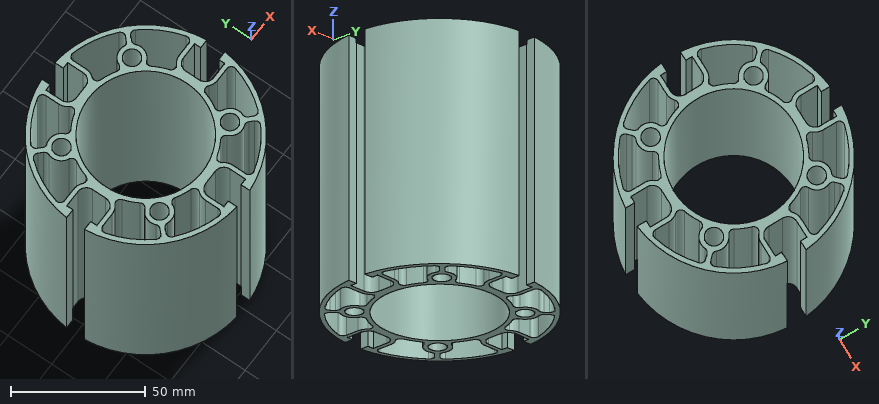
import cadquery as cq
import math

length = 100.0
outer_radius = 45.0
bore_radius = 26.0
wall = 2.0
quarters = 4

mouth_width = 8.2
slot_width = 13.8
slot_floor = 29.8
lip_seat = 40.8
slot_corner_radius = 3.9
slot_wall = 1.9

screw_hole_radius = 3.6
boss_offset = 22.5
boss_radius = screw_hole_radius + wall

chamber_inner = bore_radius + wall
chamber_outer = outer_radius - wall
bend_radius = slot_corner_radius + slot_wall
tip_radius = 2.0
corner_fillet = 2.0


def polar(radius, angle, center=(0, 0)):
    return (center[0] + radius * math.cos(angle), center[1] + radius * math.sin(angle))


def direction(start, end):
    return math.atan2(end[1] - start[1], end[0] - start[0])


def cut_quarters(body, cutter):
    """Remove four copies of a cutter, spaced evenly around the column axis."""
    for i in range(quarters):
        body = body.cut(cutter.rotate((0, 0, 0), (0, 0, 1), i * 360 / quarters))
    return body


def make_slot():
    """T-slot opening toward +Y."""
    cavity = (
        cq.Workplane("XY")
        .center(0, (slot_floor + lip_seat) / 2)
        .rect(slot_width, lip_seat - slot_floor)
        .extrude(length)
        .edges("|Z and <Y")
        .fillet(slot_corner_radius)
    )
    mouth = (
        cq.Workplane("XY")
        .center(0, (lip_seat + outer_radius) / 2)
        .rect(mouth_width, outer_radius - lip_seat)
        .extrude(length)
    )
    return cavity.union(mouth)


def make_screw_hole():
    return cq.Workplane("XY").center(boss_offset, boss_offset).circle(screw_hole_radius).extrude(length)


def make_chamber_blank():
    """Space from the +Y slot wall to the diagonal, between the two rings."""
    origin = (0, 0)
    wall_x = slot_width / 2 + slot_wall
    bend_center = (wall_x - bend_radius, slot_floor + slot_corner_radius)

    bend_distance = math.dist(origin, bend_center)
    tip_distance = chamber_inner + tip_radius
    tip_to_bend = bend_radius + tip_radius
    cosine = (tip_distance**2 + bend_distance**2 - tip_to_bend**2) / (2 * tip_distance * bend_distance)
    tip_angle = direction(origin, bend_center) - math.acos(cosine)
    tip_center = polar(tip_distance, tip_angle)

    ring_touch = polar(chamber_inner, tip_angle)
    bend_angle = direction(bend_center, tip_center)
    bend_touch = polar(bend_radius, bend_angle, bend_center)
    bend_middle = polar(bend_radius, bend_angle / 2, bend_center)
    tip_middle = polar(tip_radius, math.pi, tip_center)

    diagonal = math.pi / 4
    rim_angle = math.acos(wall_x / chamber_outer)
    return (
        cq.Workplane("XY")
        .moveTo(*ring_touch)
        .threePointArc(polar(chamber_inner, (tip_angle + diagonal) / 2), polar(chamber_inner, diagonal))
        .lineTo(*polar(chamber_outer, diagonal))
        .threePointArc(polar(chamber_outer, (rim_angle + diagonal) / 2), polar(chamber_outer, rim_angle))
        .lineTo(wall_x, bend_center[1])
        .threePointArc(bend_middle, bend_touch)
        .threePointArc(tip_middle, ring_touch)
        .close()
        .extrude(length)
    )


def is_sharp_corner(edge):
    """True for upright chamber edges on the outer ring or on the boss surface."""
    point = (edge.Center().x, edge.Center().y)
    tolerance = 0.01
    on_boss = abs(math.dist(point, (boss_offset, boss_offset)) - boss_radius) < tolerance
    on_rim = abs(math.hypot(*point) - chamber_outer) < tolerance
    return on_boss or on_rim


def make_chamber():
    """Hollow chamber between the +Y slot and the boss in the +X +Y quarter."""
    boss = cq.Workplane("XY").center(boss_offset, boss_offset).circle(boss_radius).extrude(length)
    spoke = (
        cq.Workplane("XY")
        .rect(2 * outer_radius, wall)
        .extrude(length)
        .rotate((0, 0, 0), (0, 0, 1), 45)
    )
    chamber = make_chamber_blank().cut(boss).cut(spoke)
    return chamber.edges("|Z").filter(is_sharp_corner).fillet(corner_fillet)


chamber = make_chamber()
mirrored_chamber = chamber.mirror("YZ")

result = cq.Workplane("XY").circle(outer_radius).circle(bore_radius).extrude(length)
for cutter in (make_slot(), make_screw_hole(), chamber, mirrored_chamber):
    result = cut_quarters(result, cutter)